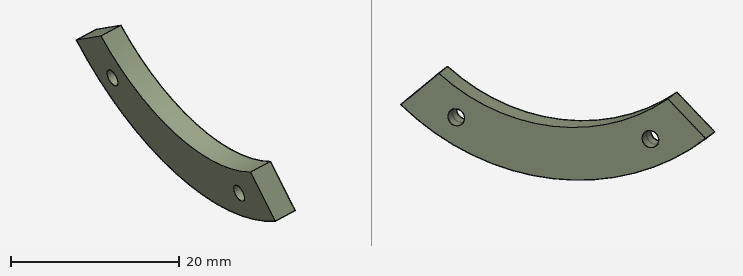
import cadquery as cq

length = 38.87
height = 11.55
thickness = 3.0
rim_width = 6.53
inner_span = 29.2
outer_corner_height = 7.1
hole_diameter = 2.1
hole_spacing = 24.72
hole_height = 6.3


def curved_plate():
    """Arc-shaped plate with slanted ends, centred on the XZ plane."""
    half_length = length / 2
    half_inner_span = inner_span / 2
    return (
        cq.Workplane("XZ")
        .moveTo(-half_length, outer_corner_height)
        .threePointArc((0, 0), (half_length, outer_corner_height))
        .lineTo(half_inner_span, height)
        .threePointArc((0, rim_width), (-half_inner_span, height))
        .close()
        .extrude(thickness / 2, both=True)
    )


def mounting_holes():
    """Cylinders for the two through holes."""
    return (
        cq.Workplane("XZ")
        .pushPoints([(side * hole_spacing / 2, hole_height) for side in (-1, 1)])
        .circle(hole_diameter / 2)
        .extrude(thickness, both=True)
    )


result = curved_plate().cut(mounting_holes())